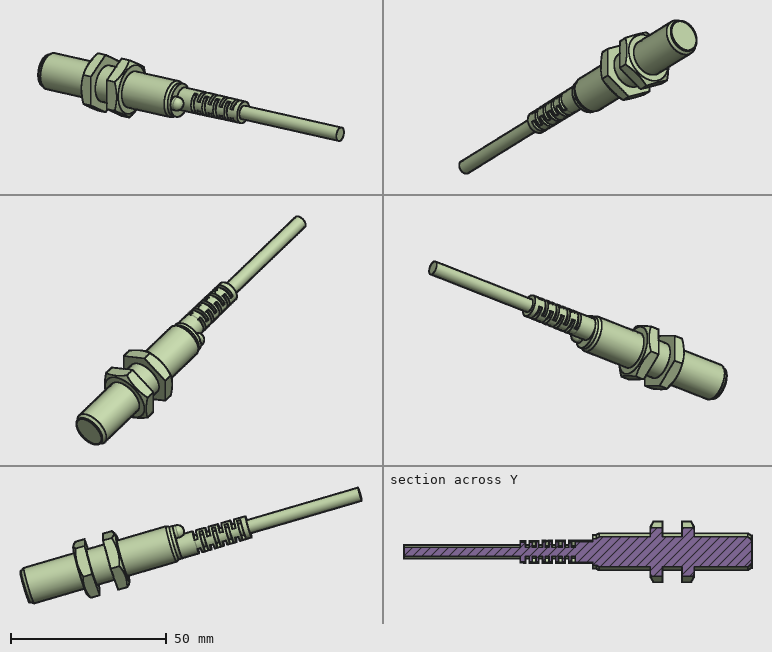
import cadquery as cq
import math

total_length = 111.8
face_recess_depth = 0.1
face_rim_length = 0.3
face_chamfer_end = 1.5
barrel_end = 49.1
rear_cone_end = 50.1
rear_collar_end = 51.2
gland_end = 74.5

face_recess_diameter = 10.1
face_rim_diameter = 10.5
barrel_diameter = 12.0
rear_collar_diameter = 11.0
gland_diameter = 7.5
gland_tip_diameter = 7.2
cable_diameter = 4.5

cable_offset = (rear_collar_diameter - gland_diameter) / 2

nut_sides = 6
nut_across_flats = 17.0
nut_thickness = 4.0
nut_chamfer_diameter = 16.0
nut_chamfer_angle = 30.0
front_nut_start = 18.6
rear_nut_start = 28.7

lamp_diameter = 4.5
lamp_dome_start = 52.1
lamp_offset = (lamp_diameter - rear_collar_diameter) / 2

slot_count = 8
slot_width = 1.1
first_slot_center = 57.4
last_slot_center = 72.1
slot_pitch = (last_slot_center - first_slot_center) / (slot_count - 1)
gland_taper_start = first_slot_center - slot_width / 2
web_half_angle = 25.0


def turned(profile):
    """Revolve (x, radius) points, closed along the X axis, about that axis."""
    points = [(profile[0][0], 0)] + profile + [(profile[-1][0], 0)]
    return cq.Workplane("XY").polyline(points).close().revolve(360, (0, 0, 0), (1, 0, 0))


def cylinder(start, end, diameter):
    return turned([(start, diameter / 2), (end, diameter / 2)])


def make_barrel():
    """Stepped barrel with a shallow round recess in the sensing face."""
    body = turned([
        (0, face_rim_diameter / 2),
        (face_rim_length, face_rim_diameter / 2),
        (face_chamfer_end, barrel_diameter / 2),
        (barrel_end, barrel_diameter / 2),
        (rear_cone_end, rear_collar_diameter / 2),
        (rear_collar_end, rear_collar_diameter / 2),
    ])
    return body.cut(cylinder(0, face_recess_depth, face_recess_diameter))


def make_nut():
    """Nut from x = 0, with the corners chamfered on the x = 0 side."""
    corner_diameter = nut_across_flats / math.cos(math.pi / nut_sides)
    hexagon = (
        cq.Workplane("YZ")
        .polygon(nut_sides, corner_diameter)
        .extrude(nut_thickness)
        .rotate((0, 0, 0), (1, 0, 0), 90)
    )
    chamfer_radius = nut_chamfer_diameter / 2
    cone_rise = nut_thickness / math.tan(math.radians(nut_chamfer_angle))
    cone = turned([(0, chamfer_radius), (nut_thickness, chamfer_radius + cone_rise)])
    return hexagon.intersect(cone)


def make_lamp():
    """Round stem with a hemispherical end, standing on the rear collar."""
    stem = cylinder(barrel_end, lamp_dome_start, lamp_diameter)
    dome = cq.Workplane("XY").sphere(lamp_diameter / 2).translate((lamp_dome_start, 0, 0))
    return stem.union(dome).translate((0, lamp_offset, 0))


def make_slot(center_x, direction):
    """Sector-shaped cutter reaching in to the cable; direction is its angle from +Y toward +Z."""
    half_angle = 90 - web_half_angle
    reach = gland_diameter
    sweep = [math.radians(direction + side * half_angle) for side in (-1, 0, 1)]
    rim = [(reach * math.cos(a), reach * math.sin(a)) for a in sweep]
    sector = (
        cq.Workplane("YZ")
        .lineTo(*rim[0])
        .threePointArc(rim[1], rim[2])
        .close()
        .extrude(slot_width)
        .translate((center_x - slot_width / 2, 0, 0))
    )
    return sector.cut(cylinder(0, total_length, cable_diameter))


def make_cable():
    """Gland with flex slots and the cable, centred on the X axis."""
    gland = turned([
        (barrel_end, gland_diameter / 2),
        (gland_taper_start, gland_diameter / 2),
        (gland_end, gland_tip_diameter / 2),
    ])
    for index in range(slot_count):
        center_x = first_slot_center + index * slot_pitch
        first_direction = 90 * (index % 2)
        for direction in (first_direction, first_direction + 180):
            gland = gland.cut(make_slot(center_x, direction))
    return gland.union(cylinder(barrel_end, total_length, cable_diameter))


front_nut = make_nut().translate((front_nut_start, 0, 0))
rear_nut = make_nut().mirror("YZ").translate((rear_nut_start + nut_thickness, 0, 0))

result = (
    make_barrel()
    .union(front_nut)
    .union(rear_nut)
    .union(make_lamp())
    .union(make_cable().translate((0, cable_offset, 0)))
)